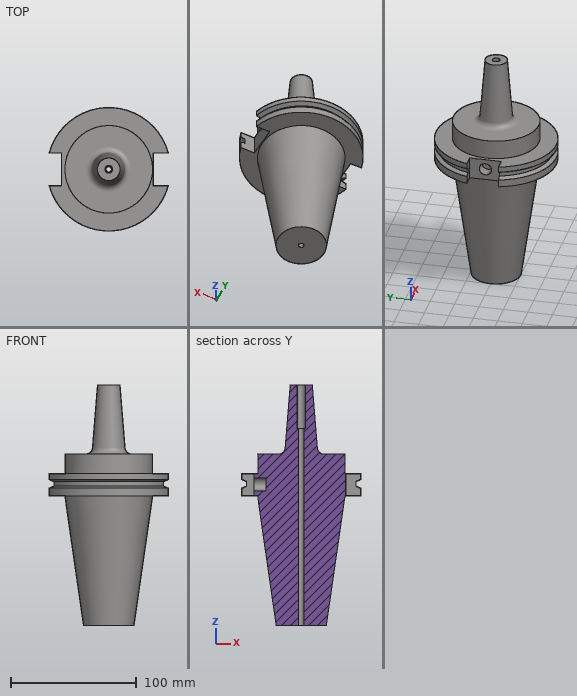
import cadquery as cq
import math

total_height = 191.6
taper_top = 102.3
flange_bottom = 103.3
flange_top = 121.0
collar_top = 136.8

taper_small_radius = 20.1
collar_radius = 34.9
flange_radius = 49.2
nose_tip_radius = 9.0
nose_base_radius = 13.0
nose_base_height = 141.4
fillet_outer_radius = 18.0

groove_center = 112.9
groove_floor_radius = 45.6
groove_floor_width = 3.6
groove_mouth_width = 6.9

slot_width = 25.9
left_slot_floor = 37.7
right_slot_floor = 35.5
side_hole_diameter = 10.0
side_hole_height = 112.5
side_hole_depth = 9.5

bore_diameter = 4.2
nose_bore_diameter = 6.1
nose_bore_depth = 34.5


def turned_body():
    rise = nose_base_height - collar_top
    run = fillet_outer_radius - nose_base_radius
    blend_radius = (rise**2 + run**2) / (2 * rise)
    half_angle = math.atan2(rise, run)
    blend_mid = (
        fillet_outer_radius - blend_radius * math.sin(half_angle),
        collar_top + blend_radius * (1 - math.cos(half_angle)),
    )
    return (
        cq.Workplane("XZ")
        .moveTo(0, 0)
        .lineTo(taper_small_radius, 0)
        .lineTo(collar_radius, taper_top)
        .lineTo(collar_radius, flange_bottom)
        .lineTo(flange_radius, flange_bottom)
        .lineTo(flange_radius, groove_center - groove_mouth_width / 2)
        .lineTo(groove_floor_radius, groove_center - groove_floor_width / 2)
        .lineTo(groove_floor_radius, groove_center + groove_floor_width / 2)
        .lineTo(flange_radius, groove_center + groove_mouth_width / 2)
        .lineTo(flange_radius, flange_top)
        .lineTo(collar_radius, flange_top)
        .lineTo(collar_radius, collar_top)
        .lineTo(fillet_outer_radius, collar_top)
        .threePointArc(blend_mid, (nose_base_radius, nose_base_height))
        .lineTo(nose_tip_radius, total_height)
        .lineTo(0, total_height)
        .close()
        .revolve(360, (0, 0, 0), (0, 1, 0))
    )


def drive_slot(side, floor_distance):
    """Slot cutter through the flange rim; side is -1 for -X, +1 for +X."""
    slot_height = flange_top - flange_bottom
    slot_center_x = side * (floor_distance + flange_radius / 2)
    return (
        cq.Workplane("XY", origin=(slot_center_x, 0, flange_bottom))
        .rect(flange_radius, slot_width)
        .extrude(slot_height)
    )


def side_hole():
    return (
        cq.Workplane("YZ", origin=(-left_slot_floor, 0, side_hole_height))
        .circle(side_hole_diameter / 2)
        .extrude(side_hole_depth)
    )


def axial_bore():
    through = cq.Workplane("XY").circle(bore_diameter / 2).extrude(total_height)
    nose = (
        cq.Workplane("XY", origin=(0, 0, total_height))
        .circle(nose_bore_diameter / 2)
        .extrude(-nose_bore_depth)
    )
    return through.union(nose)


result = (
    turned_body()
    .cut(drive_slot(-1, left_slot_floor))
    .cut(drive_slot(1, right_slot_floor))
    .cut(side_hole())
    .cut(axial_bore())
)